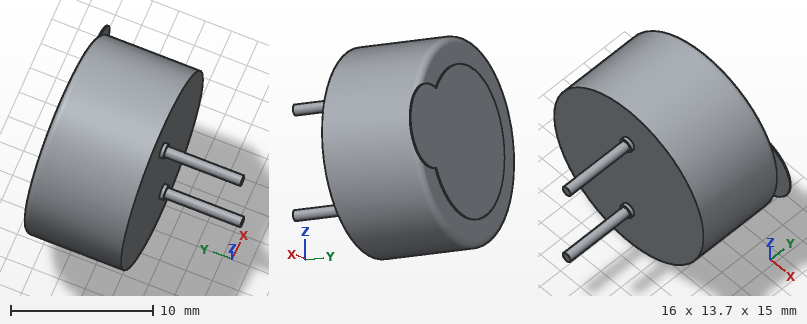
import cadquery as cq


housing_radius = 7.5
housing_depth = 7.5
rim_fillet = 0.5

pin_spacing = 7.62
pin_radius = 0.4
pin_length = 6.1
collar_radius = 0.56
collar_length = 0.3

overall_width = 16.0
label_thickness = 0.1
label_radius = 5.5
tab_radius = 3.0
tab_center_x = overall_width - housing_radius - tab_radius


def cylinder(radius, start_y, end_y, x=0, z=0):
    """Cylinder along +Y between two Y positions."""
    direction = cq.Vector(0, 1, 0)
    return cq.Workplane(
        cq.Solid.makeCylinder(radius, end_y - start_y, cq.Vector(x, start_y, z), direction)
    )


def make_pin(z):
    """One terminal: a collar against the base and a longer, thinner pin."""
    collar = cylinder(collar_radius, -collar_length, 0, z=z)
    return collar.union(cylinder(pin_radius, -pin_length, 0, z=z))


def make_housing():
    """Round case with a rounded back rim and its two terminals."""
    body = cylinder(housing_radius, 0, housing_depth).faces(">Y").edges().fillet(rim_fillet)
    for side in (-1, 1):
        body = body.union(make_pin(side * pin_spacing / 2))
    return body


def make_label():
    """Thin disc lying on the back face, with a tab that overhangs the rim on +X."""
    back_y = housing_depth + label_thickness
    disc = cylinder(label_radius, housing_depth, back_y)
    tab = cylinder(tab_radius, housing_depth, back_y, x=tab_center_x)
    return disc.union(tab)


housing = make_housing()
label = make_label()

result = cq.Compound.makeCompound([housing.val(), label.val()])